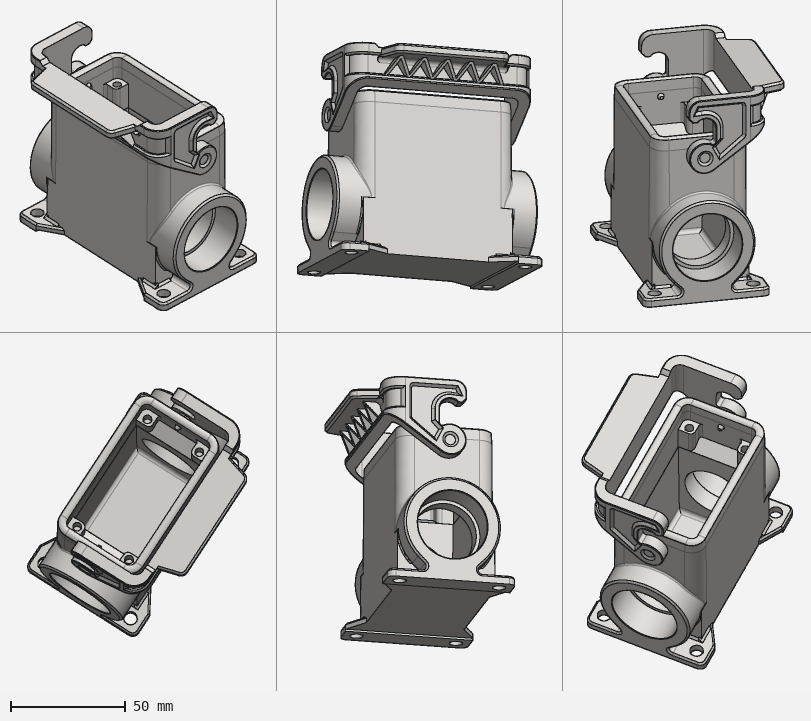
import cadquery as cq
import math

base_z = 0.9
rim_z = 74.0
collar_z = 68.3
wall_half_y = 21.9
box_half_x = 35.0
shell_half_x = 36.8
shell_corner = 7.2
wall_draft = 0.25
collar_draft = 3.5
rim_width = 3.8
rim_crown = 0.75

half_length = 47.0
entry_z = 25.5
entry_radius = 21.6
entry_edge = 0.9
entry_root = 0.75
bore_radius = 15.6
bore_depth = 14.3
bore_edge = 0.3
throat_radius = 14.0
foot_half_y = 28.5
foot_top = 3.9
foot_corner = 3.1
foot_edge = 0.8
neck_fillet = 1.9
neck_y = 13.4
gusset_tip_x = 23.7
foot_hole_x = 40.8
foot_hole_y = 22.3
foot_hole_radius = 2.9
seat_bevel = 1.0
seat_bevel_x = 27.2

mouth_half_x = 32.3
mouth_half_y = 17.5
mouth_corner = 2.8
cavity_half_x = 25.5
cavity_draft = 1.2
cavity_floor = 3.8
cavity_fillet = 2.0
ramp_top = 52.6
ramp_bottom = 49.3
post_top = 62.0
post_inner_y = 10.2
post_round = 2.3
post_root = 1.2
mouth_draft = 1.0
post_hole_x = 28.3
post_hole_y = 13.4
post_hole_radius = 1.9
post_hole_depth = 9.4

lever_top = 93.0
lever_half_x = 43.2
arm_inner_x = 37.7
lever_front_y = -28.6
bar_inner_y = -24.3
lever_corner = 8.3
lever_inner_corner = 3.8
lever_edge = 0.4
pivot_z = 65.7
pivot_eye = 7.05
slot_radius = 4.9
slot_z = 79.4
slot_bottom = 73.0
slot_corner = 1.2
hook_tip_y = 7.2
hook_round = 5.2
hook_bottom = 82.7
hook_chamfer = 1.8
hook_lip_y = 3.5
bar_bottom = 77.3
groove_depth = 1.6
groove_bevel = 0.8
groove_bottom = 78.8
groove_top = 88.7
pocket_depth = 1.5
pocket_bevel = 1.1
pocket_corner = 1.9
pocket_margin = 2.0
pocket_top = 90.4
pocket_front_y = -18.2
pocket_knee_z = 74.2
pocket_toe = (-6.4, 64.5)
pocket_heel = (-3.3, 70.5)
pocket_hook = (5.45, 85.9)
pocket_hook_top = (3.3, 90.4)
pin_boss_radius = 3.5
pin_boss_tip_radius = 2.9
pin_head_radius = 2.35
pin_head_depth = 0.8
pin_nub_radius = 1.5
pin_nub_length = 1.7

handle_tip_y = -40.5
handle_top = 91.2
handle_bottom = 86.95
handle_half_x = 30.5
handle_neck_x = 29.2
handle_tip_x = 25.9
handle_corner = 3.3
handle_edge = 0.9
notch_slope_x = 2.0
haunch = 2.3
haunch_bevel = 0.9
rib_pitch = 10.9
rib_peaks = 5
rib_width = 1.3
rib_reach_y = -34.1
rib_toe_y = -28.9


def rounded_block(length, width, bottom, height, corner, draft=0.0):
    """Upright block with round vertical corners, leaning in by the draft."""
    outline = cq.Workplane("XY").workplane(offset=bottom).sketch().rect(length, width)
    if corner:
        outline = outline.vertices().fillet(corner)
    return outline.finalize().extrude(height, taper=draft)


def box(x_range, y_range, z_range):
    """Axis-aligned block between pairs of limits."""
    sizes = [high - low for low, high in (x_range, y_range, z_range)]
    corner = (x_range[0], y_range[0], z_range[0])
    return cq.Workplane("XY").box(*sizes, centered=False).translate(corner)


def rod(x_start, x_end, radius, z, end_radius=None):
    """Round bar along X, tapering if an end radius is given."""
    end = radius if end_radius is None else end_radius
    profile = [(0, x_start), (radius, x_start), (end, x_end), (0, x_end)]
    spun = cq.Workplane("XY").polyline(profile).close().revolve(360, (0, 0), (0, 1))
    return spun.rotate((0, 0, 0), (0, 0, 1), -90).translate((0, 0, z))


def both_ends(shape):
    """The shape together with its mirror image across X = 0."""
    return shape.union(shape.mirror("YZ"))


def housing():
    """Square-cornered lower box carrying the round-cornered shell and collar."""
    lean = math.tan(math.radians(wall_draft))
    lower = rounded_block(2 * box_half_x, 2 * wall_half_y, base_z, entry_z - base_z, 0, wall_draft)
    shell_half_y = wall_half_y - (entry_z - base_z) * lean
    shell_height = collar_z - entry_z
    shell = rounded_block(2 * shell_half_x, 2 * shell_half_y, entry_z, shell_height, shell_corner, wall_draft)
    shrink = shell_height * lean
    collar = rounded_block(
        2 * (shell_half_x - shrink), 2 * (shell_half_y - shrink),
        collar_z, rim_z - rim_crown - collar_z, shell_corner - shrink, collar_draft)
    return lower.union(shell).union(collar)


def cable_entry():
    """Round entry on its neck and foot, drawn as one end plate at the -X end."""
    half = math.sqrt(0.5)
    flank = (entry_radius * half, entry_z - entry_radius * half)
    vertex_y = flank[0] - (flank[1] - foot_top)
    fillet_y = vertex_y + neck_fillet / math.tan(math.pi / 8)
    fillet_z = foot_top + neck_fillet
    meet = (fillet_y - neck_fillet * half, fillet_z + neck_fillet * half)
    waist = (fillet_y - neck_fillet * math.cos(math.pi / 8), fillet_z - neck_fillet * math.sin(math.pi / 8))
    plate = (
        cq.Workplane("YZ").workplane(offset=-half_length)
        .moveTo(-foot_half_y, 0).lineTo(foot_half_y, 0).lineTo(foot_half_y, foot_top)
        .lineTo(fillet_y, foot_top).threePointArc(waist, meet).lineTo(*flank)
        .threePointArc((0, entry_z + entry_radius), (-flank[0], flank[1]))
        .lineTo(-meet[0], meet[1]).threePointArc((-waist[0], waist[1]), (-fillet_y, foot_top))
        .lineTo(-foot_half_y, foot_top).close()
        .extrude(half_length - box_half_x))
    plate = plate.edges("|Z and <X").fillet(foot_corner)
    plate = plate.faces("<X").edges("not <Z").chamfer(entry_edge, foot_edge)
    sleeve = rod(-box_half_x, -cavity_half_x, entry_radius, entry_z)
    return plate.union(sleeve)


def entry_collar():
    """Cone closing the corner between the entry and the lower box's end wall."""
    cone = rod(-box_half_x - entry_root, -box_half_x, entry_radius, entry_z, entry_radius + entry_root)
    cone = cone.union(rod(-box_half_x, -cavity_half_x, entry_radius, entry_z))
    tangent_z = entry_z - entry_radius * math.sqrt(0.5)
    return cone.intersect(box((-half_length, 0), (-entry_radius, entry_radius), (tangent_z, entry_z)))


def foot_gussets():
    """Flat triangles bracing the feet at the -X end, and the bevels along the walls."""
    overlap_y = wall_half_y - seat_bevel
    run = (box_half_x - gusset_tip_x) / (foot_half_y - wall_half_y) * (foot_half_y - overlap_y)
    plan = [(-box_half_x, overlap_y), (-box_half_x, foot_half_y), (-box_half_x + run, overlap_y)]
    gusset = (
        cq.Workplane("XY").workplane(offset=base_z).polyline(plan).close()
        .extrude(foot_top - base_z)
        .faces(">Z").edges(cq.selectors.BoxSelector(
            (-box_half_x + 0.9, wall_half_y, base_z), (-gusset_tip_x, foot_half_y, foot_top + 0.9)))
        .chamfer(foot_edge))
    bevel = (
        cq.Workplane("YZ").workplane(offset=-box_half_x - seat_bevel)
        .polyline([(overlap_y, foot_top), (wall_half_y + seat_bevel, foot_top), (overlap_y, foot_top + 2 * seat_bevel)])
        .close().extrude(box_half_x + seat_bevel - seat_bevel_x))
    end_bevel = (
        cq.Workplane("XZ").workplane(offset=-wall_half_y)
        .polyline([(-box_half_x, foot_top), (-box_half_x - seat_bevel, foot_top),
                   (-box_half_x + seat_bevel, foot_top + 2 * seat_bevel), (-box_half_x + seat_bevel, foot_top)])
        .close().extrude(wall_half_y - neck_y))
    brace = gusset.union(bevel).union(end_bevel)
    return brace.union(brace.mirror("XZ"))


def rim_crown_ring():
    """Shallow rounded crown along the mouth of the housing."""
    half_x = mouth_half_x + rim_width / 2
    half_y = mouth_half_y + rim_width / 2
    seat_z = rim_z - rim_crown
    midline = rounded_block(2 * half_x, 2 * half_y, seat_z - 0.9, 0.9, mouth_corner + rim_width / 2)
    path = cq.Workplane(midline.faces(">Z").wires().val())
    section = (
        cq.Workplane("XZ").moveTo(half_x - rim_width / 2, seat_z)
        .threePointArc((half_x, rim_z), (half_x + rim_width / 2, seat_z)).close())
    return section.sweep(path)


def cavity():
    """Opening from the mouth down to the floor, with corner posts left standing."""
    size = (2 * mouth_half_x, 2 * mouth_half_y)
    mouth = rounded_block(*size, ramp_bottom, collar_z - ramp_bottom, mouth_corner)
    mouth = mouth.union(rounded_block(*size, collar_z, rim_z - collar_z, mouth_corner, -mouth_draft))
    ramp = (
        cq.Workplane("XZ").workplane(offset=-foot_half_y)
        .polyline([(-mouth_half_x, ramp_bottom), (-mouth_half_x, ramp_top), (-cavity_half_x, ramp_bottom)])
        .close().extrude(2 * foot_half_y))
    post = box((-mouth_half_x, -cavity_half_x), (post_inner_y, mouth_half_y), (ramp_bottom, post_top))
    post = post.edges("|Z and >X and <Y").fillet(post_round)
    post = post.cut(
        cq.Workplane("XY").workplane(offset=post_top).center(-post_hole_x, post_hole_y)
        .circle(post_hole_radius).extrude(-post_hole_depth))
    solids = ramp.union(post).union(post.mirror("XZ"))
    solids = solids.union(rod(-mouth_half_x, -mouth_half_x + pin_nub_length, pin_nub_radius, pivot_z, pin_nub_radius / 2))
    well = (
        cq.Workplane("XY").workplane(offset=ramp_top).rect(2 * cavity_half_x, 2 * mouth_half_y)
        .extrude(cavity_floor - ramp_top, taper=cavity_draft)
        .faces("<Z").edges().fillet(cavity_fillet))
    void = mouth.cut(both_ends(solids))
    for x in (-mouth_half_x, mouth_half_x):
        for y in (-post_inner_y, post_inner_y):
            root = cq.selectors.BoxSelector((x - 0.1, y - 0.1, ramp_bottom), (x + 0.1, y + 0.1, post_top))
            void = void.edges("|Z").edges(root).fillet(post_root)
    return void.union(well)


def entry_bore():
    """Stepped bore of the -X cable entry, opening into the cavity."""
    bore = rod(-half_length, -half_length + bore_depth, bore_radius, entry_z)
    mouth = rod(-half_length, -half_length + bore_edge, bore_radius + bore_edge, entry_z, bore_radius)
    throat = rod(-half_length, 0, throat_radius, entry_z)
    return bore.union(mouth).union(throat)


def foot_holes():
    """Screw holes through the feet at the -X end."""
    return (
        cq.Workplane("XY").pushPoints([(-foot_hole_x, foot_hole_y), (-foot_hole_x, -foot_hole_y)])
        .circle(foot_hole_radius).extrude(foot_top + seat_bevel))


def u_plan(grow, bottom, height):
    """Upright block around the outside of the lever, offset by grow."""
    return (
        box((-lever_half_x - grow, lever_half_x + grow), (lever_front_y - grow, hook_tip_y + pivot_eye),
            (bottom, bottom + height))
        .edges("|Z and <Y").fillet(lever_corner + grow))


def eye_tangent():
    """Point where the sloping lower edge of the lever meets the pivot eye."""
    distance = math.hypot(lever_front_y, bar_bottom - pivot_z)
    bearing = math.atan2(bar_bottom - pivot_z, lever_front_y)
    angle = bearing + math.acos(pivot_eye / distance)
    return pivot_eye * math.cos(angle), pivot_z + pivot_eye * math.sin(angle)


def lever_side():
    """Side outline of the lever as a bar across the whole part."""
    half = math.sqrt(0.5)
    center_y = -slot_radius + slot_corner
    center_z = pivot_z + math.sqrt((pivot_eye + slot_corner) ** 2 - center_y ** 2)
    share = pivot_eye / (pivot_eye + slot_corner)
    touch = (center_y * share, pivot_z + (center_z - pivot_z) * share)
    corner_mid = (center_y - slot_corner * half, center_z - slot_corner * half)
    lip = math.radians(60)
    return (
        cq.Workplane("YZ").workplane(offset=-lever_half_x)
        .moveTo(lever_front_y, bar_bottom).lineTo(lever_front_y, lever_top)
        .lineTo(hook_tip_y - hook_round, lever_top)
        .threePointArc((hook_tip_y - hook_round * (1 - half), lever_top - hook_round * (1 - half)),
                       (hook_tip_y, lever_top - hook_round))
        .lineTo(hook_tip_y, hook_bottom + hook_chamfer).lineTo(hook_tip_y - hook_chamfer, hook_bottom)
        .lineTo(hook_lip_y, hook_bottom)
        .lineTo(slot_radius * math.cos(lip), slot_z + slot_radius * math.sin(lip))
        .threePointArc((-slot_radius * half, slot_z + slot_radius * half), (-slot_radius, slot_z))
        .lineTo(-slot_radius, center_z).threePointArc(corner_mid, touch)
        .threePointArc((pivot_eye * half, pivot_z - pivot_eye * half), eye_tangent())
        .close().extrude(2 * lever_half_x))


def bar_groove():
    """Channel around the front of the lever, cut between its upper and lower lips."""
    height = groove_top - groove_bottom
    depth_y = lever_front_y + lever_corner
    band = u_plan(0.9, groove_bottom, height).cut(u_plan(-groove_depth, groove_bottom, height))
    lower_lip = u_plan(0, groove_bottom, groove_bevel).faces(">Z").edges().chamfer(groove_bevel - 0.01)
    upper_lip = u_plan(0, groove_top - groove_bevel, groove_bevel).faces("<Z").edges().chamfer(groove_bevel - 0.01)
    band = band.cut(lower_lip).cut(upper_lip)
    floor_x = lever_half_x - groove_depth
    zone = [
        (-lever_half_x - 0.9, depth_y + 0.9), (-floor_x, depth_y - groove_depth), (floor_x, depth_y - groove_depth),
        (lever_half_x + 0.9, depth_y + 0.9), (lever_half_x + 0.9, handle_tip_y), (-lever_half_x - 0.9, handle_tip_y)]
    return band.intersect(cq.Workplane("XY").polyline(zone).close().extrude(lever_top))


def handle_notch():
    """Step lowering the top of the front bar to the handle, with sloping ends."""
    top_x = handle_half_x + notch_slope_x
    return (
        cq.Workplane("XZ").workplane(offset=-bar_inner_y - 0.9)
        .polyline([(-handle_half_x, handle_top), (handle_half_x, handle_top), (top_x, lever_top), (-top_x, lever_top)])
        .close().extrude(handle_tip_y * -1))


def arm_pocket():
    """Shallow pocket with sloping walls in the outer face of the -X arm."""
    reach = slot_radius + pocket_margin
    start = math.radians(78)
    half = math.sqrt(0.5)
    outline = (
        cq.Workplane("YZ").workplane(offset=-lever_half_x)
        .moveTo(*pocket_hook).lineTo(*pocket_hook_top).lineTo(pocket_front_y, pocket_top)
        .lineTo(pocket_front_y, pocket_knee_z).lineTo(*pocket_toe).lineTo(*pocket_heel)
        .lineTo(-reach, slot_bottom + slot_corner).lineTo(-reach, slot_z)
        .threePointArc((-reach * half, slot_z + reach * half),
                       (reach * math.cos(start), slot_z + reach * math.sin(start)))
        .close())
    pocket = outline.extrude(pocket_depth)
    front = cq.selectors.BoxSelector(
        (-lever_half_x, pocket_front_y - 0.9, 0), (0, pocket_front_y + 0.9, lever_top))
    pocket = pocket.edges("|X").edges(front).fillet(pocket_corner)
    return pocket.faces(">X").edges().chamfer(pocket_depth - 0.1, pocket_bevel)


def handle():
    """Tapered grip plate with its haunch and the zigzag ribs beneath it."""
    plan = [
        (-handle_half_x, bar_inner_y), (-handle_neck_x, lever_front_y), (-handle_tip_x, handle_tip_y),
        (handle_tip_x, handle_tip_y), (handle_neck_x, lever_front_y), (handle_half_x, bar_inner_y)]
    plate = (
        cq.Workplane("XY").workplane(offset=handle_bottom).polyline(plan).close()
        .extrude(handle_top - handle_bottom)
        .edges("|Z and <Y").fillet(handle_corner))
    rim = cq.selectors.BoxSelector(
        (-handle_half_x, handle_tip_y - 0.9, 0), (handle_half_x, lever_front_y - handle_corner, lever_top))
    plate = plate.faces("<Z or >Z").edges(rim).chamfer(handle_edge)
    wall_y = lever_front_y + groove_depth
    half = math.sqrt(0.5)
    brace = (
        cq.Workplane("YZ").workplane(offset=-handle_half_x)
        .polyline([(bar_inner_y, handle_bottom), (bar_inner_y, handle_bottom - haunch),
                   (wall_y, handle_bottom - haunch)])
        .threePointArc((wall_y - haunch * (1 - half), handle_bottom - haunch * (1 - half)),
                       (wall_y - haunch, handle_bottom))
        .close().extrude(2 * handle_half_x)
        .edges("|Y and <Z").chamfer(haunch_bevel))
    return plate.union(brace).union(zigzag_ribs())


def zigzag_ribs():
    """Row of slanting ribs, trimmed to a gusset under the handle."""
    rise = handle_bottom - groove_bottom
    length = math.hypot(rise, rib_pitch / 2) + rib_width
    angle = math.degrees(math.atan2(rise, rib_pitch / 2))
    middle_z = (handle_bottom + groove_bottom) / 2
    gusset = (
        cq.Workplane("YZ").workplane(offset=-lever_half_x)
        .polyline([(bar_inner_y, groove_bottom), (rib_toe_y, groove_bottom), (rib_reach_y, handle_bottom),
                   (bar_inner_y, handle_bottom)])
        .close().extrude(2 * lever_half_x))
    rows = None
    for index in range(rib_peaks):
        peak_x = (index - (rib_peaks - 1) / 2) * rib_pitch
        for side in (-1, 1):
            rib = (
                cq.Workplane("XZ").workplane(offset=-bar_inner_y)
                .transformed(offset=(peak_x + side * rib_pitch / 4, middle_z, 0), rotate=(0, 0, -side * angle))
                .rect(length, rib_width).extrude(-handle_tip_y))
            rows = rib if rows is None else rows.union(rib)
    return rows.intersect(gusset)


def lever():
    """Locking lever: two hooked arms joined by the front bar."""
    opening = (
        box((-arm_inner_x, arm_inner_x), (bar_inner_y, hook_tip_y + 2 * pivot_eye), (0, lever_top))
        .edges("|Z and <Y").fillet(lever_inner_corner))
    frame = u_plan(0, pivot_z - pivot_eye, lever_top).intersect(lever_side())
    bend_y = lever_front_y + lever_corner
    sides = [
        cq.selectors.BoxSelector((x - 0.1, bend_y + 0.1, 0), (x + 0.1, handle_tip_y * -1, 2 * lever_top))
        for x in (-lever_half_x, lever_half_x)]
    front = cq.selectors.BoxSelector(
        (-half_length, handle_tip_y, 0), (half_length, bend_y - 0.1, 2 * lever_top))
    rim = sides[0] + sides[1] + (front - cq.selectors.ParallelDirSelector(cq.Vector(0, 0, 1)))
    frame = frame.edges(rim).chamfer(lever_edge).cut(opening)
    frame = frame.cut(bar_groove()).cut(handle_notch()).cut(both_ends(arm_pocket()))
    frame = frame.cut(both_ends(pin_recess()))
    return frame.union(handle())


def pin_recess():
    """Conical recess around the pivot pin head in the -X arm."""
    return rod(-lever_half_x, -lever_half_x + pin_head_depth, pin_boss_radius, pivot_z, pin_head_radius)


def pivot():
    """Boss on the -X end wall of the body that carries the lever arm."""
    return rod(-arm_inner_x - 0.9, -mouth_half_x - 0.9, pin_boss_tip_radius, pivot_z, pin_boss_radius)


def root_edges(shape):
    """Edges where the entries emerge from the upper shell above the lower box."""
    zone = cq.selectors.BoxSelector(
        (-half_length, -wall_half_y, entry_z + 0.9), (half_length, wall_half_y, entry_z + entry_radius))
    return shape.edges("%BSPLINE or %ELLIPSE").edges(zone)


body = housing().union(both_ends(cable_entry()))
body = root_edges(body).fillet(entry_root)
body = body.union(both_ends(entry_collar())).union(rim_crown_ring()).union(both_ends(foot_gussets()))
body = body.cut(cavity()).cut(both_ends(entry_bore())).cut(both_ends(foot_holes()))
result = body.union(both_ends(pivot())).union(lever())